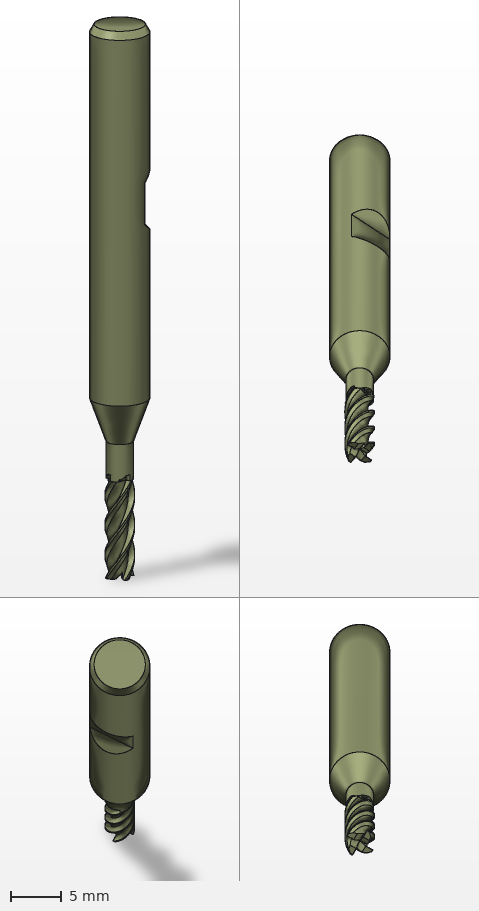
import cadquery as cq
import math

TOTAL_LENGTH = 57.0
SHANK_DIAMETER = 6.0
SHANK_RADIUS = SHANK_DIAMETER / 2

TOP_CHAMFER_INSET = 0.45
TOP_CHAMFER_HEIGHT = 0.8
CONE_TOP_Z = 18.45
CONE_BOTTOM_Z = 14.0

FLAT_CENTER_Z = 39.0
FLAT_LENGTH = 4.2
FLAT_DEPTH = 1.2
FLAT_END_RUN = FLAT_DEPTH

NECK_RADIUS = 1.35
HEAD_RADIUS = 1.5
HEAD_LENGTH = 10.15

TOOTH_COUNT = 4
TOOTH_PITCH = 360.0 / TOOTH_COUNT
FLUTE_LEAD = 12.25
LAND_ANGLE = 10.0
RELIEF_ANGLE = 30.0
RELIEF_RADIUS = 1.25
FLUTE_FLOOR_ANGLE = 65.0
CORE_RADIUS = 0.85

GASH_HEIGHT = 0.7
GASH_WIDTH = 0.7

RUN_OUT_HEIGHT = 0.6
RUN_OUT_TOP_WIDTH = 0.4
RUN_OUT_BOTTOM_WIDTH = 1.25


def polar(radius, degrees):
    """Point in the XY plane at a radius and an angle."""
    angle = math.radians(degrees)
    return (radius * math.cos(angle), radius * math.sin(angle))


def make_shank():
    """Chamfered cylinder with a cone that tapers down to the neck."""
    outline = [
        (0, CONE_BOTTOM_Z),
        (-NECK_RADIUS, CONE_BOTTOM_Z),
        (-SHANK_RADIUS, CONE_TOP_Z),
        (-SHANK_RADIUS, TOTAL_LENGTH - TOP_CHAMFER_HEIGHT),
        (TOP_CHAMFER_INSET - SHANK_RADIUS, TOTAL_LENGTH),
        (0, TOTAL_LENGTH),
    ]
    body = cq.Workplane("YZ").polyline(outline).close().revolve(360, (0, 0), (0, 1))
    return body.cut(make_flat_cutter())


def make_flat_cutter():
    """Trapezoid in the YZ plane, run across the whole shank in X."""
    floor_y = SHANK_RADIUS - FLAT_DEPTH
    half_floor = FLAT_LENGTH / 2
    half_mouth = half_floor + FLAT_END_RUN
    outline = [
        (floor_y, FLAT_CENTER_Z - half_floor),
        (SHANK_RADIUS, FLAT_CENTER_Z - half_mouth),
        (SHANK_RADIUS, FLAT_CENTER_Z + half_mouth),
        (floor_y, FLAT_CENTER_Z + half_floor),
    ]
    return cq.Workplane("YZ").polyline(outline).close().extrude(SHANK_RADIUS, both=True)


def rake_angle_at(z, index):
    """Direction of one tooth's rake face at a height on the right-hand helix."""
    return index * TOOTH_PITCH + 360.0 * z / FLUTE_LEAD


def make_wedge(outline, inner_radius, angle):
    """Radial prism: an outline of (tangential, z) points run outward in the given direction."""
    wedge = cq.Workplane("YZ", origin=(inner_radius, 0, 0)).polyline(outline).close().extrude(HEAD_RADIUS)
    return wedge.rotate((0, 0, 0), (0, 0, 1), angle)


def make_head():
    """Toothed cross-section, twisted upward along the right-hand helix and gashed at the tip."""
    profile = cq.Workplane("XY").moveTo(HEAD_RADIUS, 0)
    for index in range(TOOTH_COUNT):
        rake_angle = rake_angle_at(0, index)
        next_rake_angle = rake_angle + TOOTH_PITCH
        profile = (
            profile.threePointArc(
                polar(HEAD_RADIUS, rake_angle + LAND_ANGLE / 2),
                polar(HEAD_RADIUS, rake_angle + LAND_ANGLE),
            )
            .lineTo(*polar(RELIEF_RADIUS, rake_angle + RELIEF_ANGLE))
            .threePointArc(
                polar(CORE_RADIUS, rake_angle + FLUTE_FLOOR_ANGLE),
                polar(CORE_RADIUS, next_rake_angle),
            )
        )
        if index < TOOTH_COUNT - 1:
            profile = profile.lineTo(*polar(HEAD_RADIUS, next_rake_angle))
    head = profile.close().twistExtrude(HEAD_LENGTH, 360.0 * HEAD_LENGTH / FLUTE_LEAD)

    gash_outline = [(0, 0), (0, GASH_HEIGHT), (-GASH_WIDTH, 0)]
    for index in range(TOOTH_COUNT):
        head = head.cut(make_wedge(gash_outline, 0, rake_angle_at(0, index)))
    return head


def make_neck():
    """Round neck up to the shank cone, with the flutes running out into its lower end."""
    neck = (
        cq.Workplane("XY", origin=(0, 0, HEAD_LENGTH))
        .circle(NECK_RADIUS)
        .extrude(CONE_BOTTOM_Z - HEAD_LENGTH)
    )
    run_out_top_z = HEAD_LENGTH + RUN_OUT_HEIGHT
    run_out_outline = [
        (0, HEAD_LENGTH),
        (0, run_out_top_z),
        (-RUN_OUT_TOP_WIDTH, run_out_top_z),
        (-RUN_OUT_BOTTOM_WIDTH, HEAD_LENGTH),
    ]
    for index in range(TOOTH_COUNT):
        rake_angle = rake_angle_at(HEAD_LENGTH, index)
        neck = neck.cut(make_wedge(run_out_outline, CORE_RADIUS, rake_angle))
    return neck


shank = make_shank()
cutter = make_head().union(make_neck())
result = cq.Compound.makeCompound([shank.val(), cutter.val()])